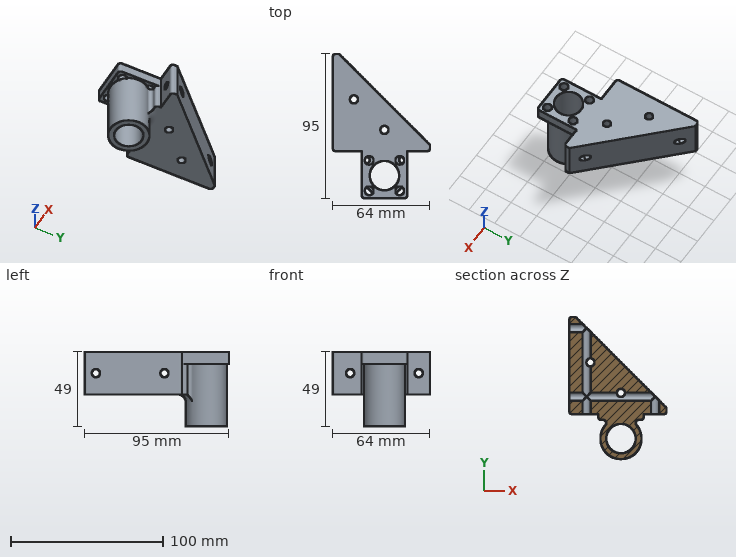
import cadquery as cq
import math


BLOCK_LEFT = -34.0
BLOCK_SIZE = 64.0
BLOCK_FRONT = 16.0
BLOCK_HEIGHT = 28.0
TIP_FLAT = 4.2
CORNER_RADIUS = 2.0
BLOCK_RIGHT = BLOCK_LEFT + BLOCK_SIZE
BLOCK_BACK = BLOCK_FRONT + BLOCK_SIZE

PLATE_HALF = 15.0
PLATE_THICKNESS = 8.0
SCREW_DIAMETER = 5.7
SCREW_SPACING = 19.95

TUBE_DIAMETER = 27.2
TUBE_RADIUS = TUBE_DIAMETER / 2
BORE_DIAMETER = 19.2
TUBE_LENGTH = 49.0

FLARE_RADIUS = 5.0
WEB_FRONT = 12.3
WEB_BACK = BLOCK_FRONT + FLARE_RADIUS

HOLE_DIAMETER = 5.2
HOLE_HALF_SPACING = 22.5
SIDE_HOLE_CENTER_Y = 50.1
SIDE_HOLE_Z = -BLOCK_HEIGHT / 2
VERTICAL_HOLES = [(-20.0, SIDE_HOLE_CENTER_Y), (0, 30.0)]


def make_block():
    """Right-angled block with rounded outer corners and truncated tips."""
    block = (
        cq.Workplane("XY")
        .moveTo(BLOCK_LEFT, BLOCK_FRONT)
        .lineTo(BLOCK_RIGHT, BLOCK_FRONT)
        .lineTo(BLOCK_RIGHT, BLOCK_FRONT + TIP_FLAT)
        .lineTo(BLOCK_LEFT + TIP_FLAT, BLOCK_BACK)
        .lineTo(BLOCK_LEFT, BLOCK_BACK)
        .close()
        .extrude(-BLOCK_HEIGHT)
    )
    left_edges = block.edges("|Z and <X")
    front_right_edge = block.edges("|Z and >X").edges("<Y")
    return block.newObject(left_edges.vals() + front_right_edge.vals()).fillet(CORNER_RADIUS)


def make_plate():
    """Flange on top of the tube, run back into the block."""
    plate = (
        cq.Workplane("XY")
        .box(2 * PLATE_HALF, PLATE_HALF + BLOCK_FRONT, PLATE_THICKNESS, centered=(True, False, False))
        .translate((0, -PLATE_HALF, -PLATE_THICKNESS))
    )
    return plate.edges("|Z and <Y").fillet(CORNER_RADIUS)


def make_web(height):
    """Wall from the tube into the block, blended into the tube by a concave arc on each side.

    It reaches far enough into the block to cover the widest part of the flare.
    """
    blend_y = WEB_FRONT - CORNER_RADIUS
    blend_reach = TUBE_RADIUS + CORNER_RADIUS
    blend_x = math.sqrt(blend_reach**2 - blend_y**2)
    tube_x = blend_x * TUBE_RADIUS / blend_reach
    tube_y = blend_y * TUBE_RADIUS / blend_reach
    wall_angle = math.pi / 2
    tube_angle = math.pi + math.atan2(blend_y, blend_x)
    middle_angle = (wall_angle + tube_angle) / 2
    middle_x = blend_x + CORNER_RADIUS * math.cos(middle_angle)
    middle_y = blend_y + CORNER_RADIUS * math.sin(middle_angle)
    web = (
        cq.Workplane("XY")
        .moveTo(-tube_x, tube_y)
        .lineTo(tube_x, tube_y)
        .threePointArc((middle_x, middle_y), (blend_x, WEB_FRONT))
        .lineTo(PLATE_HALF, WEB_FRONT)
        .lineTo(PLATE_HALF, WEB_BACK)
        .lineTo(-PLATE_HALF, WEB_BACK)
        .lineTo(-PLATE_HALF, WEB_FRONT)
        .lineTo(-blend_x, WEB_FRONT)
        .threePointArc((-middle_x, middle_y), (-tube_x, tube_y))
        .close()
        .extrude(-height)
    )
    return web.edges("|Z").edges("<X or >X").edges("<Y").fillet(CORNER_RADIUS)


def make_flare():
    """Concave fillet around the tube just below the block, limited to the web outline."""
    outer = TUBE_RADIUS + FLARE_RADIUS
    bottom = -BLOCK_HEIGHT - FLARE_RADIUS
    arc_offset = FLARE_RADIUS * (1 - math.sqrt(0.5))
    ring = (
        cq.Workplane("XZ")
        .moveTo(0, -BLOCK_HEIGHT)
        .lineTo(outer, -BLOCK_HEIGHT)
        .threePointArc((TUBE_RADIUS + arc_offset, -BLOCK_HEIGHT - arc_offset), (TUBE_RADIUS, bottom))
        .lineTo(0, bottom)
        .close()
        .revolve(360, (0, 0, 0), (0, 1, 0))
    )
    return ring.intersect(make_web(BLOCK_HEIGHT + FLARE_RADIUS))


def cut_block_holes(body):
    """Vertical, front-to-back and left-to-right through holes."""
    radius = HOLE_DIAMETER / 2
    for x, y in VERTICAL_HOLES:
        hole = cq.Solid.makeCylinder(radius, BLOCK_HEIGHT, cq.Vector(x, y, -BLOCK_HEIGHT))
        body = body.cut(cq.Workplane(hole))
    for side in (-1, 1):
        offset = side * HOLE_HALF_SPACING
        front_start = cq.Vector(offset, BLOCK_FRONT, SIDE_HOLE_Z)
        left_start = cq.Vector(BLOCK_LEFT, SIDE_HOLE_CENTER_Y + offset, SIDE_HOLE_Z)
        front_hole = cq.Solid.makeCylinder(radius, BLOCK_SIZE, front_start, cq.Vector(0, 1, 0))
        left_hole = cq.Solid.makeCylinder(radius, BLOCK_SIZE, left_start, cq.Vector(1, 0, 0))
        body = body.cut(cq.Workplane(front_hole)).cut(cq.Workplane(left_hole))
    return body


def cut_plate_holes(body):
    """Central bore through the tube and four screw holes as deep as the plate."""
    bore = cq.Workplane("XY").circle(BORE_DIAMETER / 2).extrude(-TUBE_LENGTH)
    screws = (
        cq.Workplane("XY")
        .rect(SCREW_SPACING, SCREW_SPACING, forConstruction=True)
        .vertices()
        .circle(SCREW_DIAMETER / 2)
        .extrude(-PLATE_THICKNESS)
    )
    return body.cut(bore).cut(screws)


tube = cq.Workplane("XY").circle(TUBE_RADIUS).extrude(-TUBE_LENGTH)
body = make_block().union(make_plate()).union(make_web(BLOCK_HEIGHT))
body = body.union(tube).union(make_flare())
result = cut_plate_holes(cut_block_holes(body))